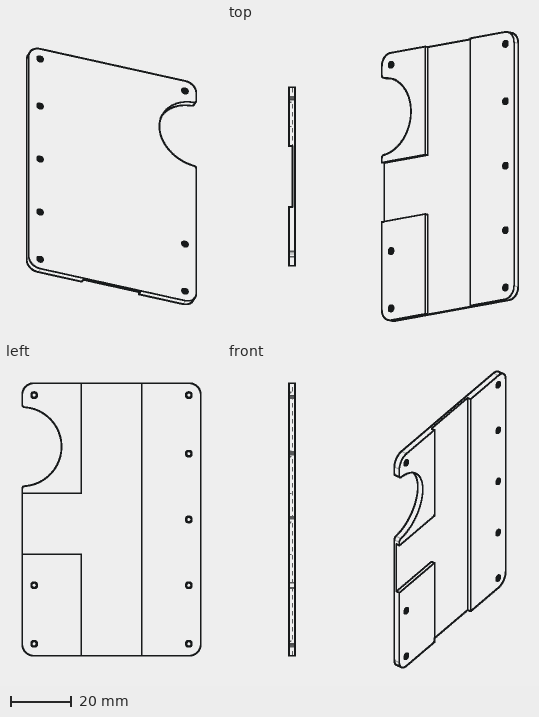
import cadquery as cq
import math

thickness = 2.1
width = 59.0
height = 90.0
corner_radius = 4.0

recess_depth = 1.2
channel_width = 20.0
branch_center_z = -1.4

notch_radius = 13.0
notch_center_z = 24.0
notch_lip_radius = 1.0

thread_minor_diameter = 1.62
thread_major_diameter = 2.07
thread_pitch = 0.4
thread_root_flat = thread_pitch / 4
thread_flank_angle = 30.0
thread_start_angle = 315.0
thread_overrun = thread_pitch
thread_overlap = 0.02
hole_y = width / 2 - corner_radius
end_hole_z = height / 2 - corner_radius
middle_hole_z = 21.7

face_x = -thickness / 2
hole_positions = [
    (-hole_y, end_hole_z),
    (-hole_y, middle_hole_z),
    (-hole_y, 0),
    (-hole_y, -middle_hole_z),
    (-hole_y, -end_hole_z),
    (hole_y, end_hole_z),
    (hole_y, -middle_hole_z),
    (hole_y, -end_hole_z),
]


def make_plate():
    """Rectangular plate with rounded corners."""
    return cq.Workplane("XY").box(thickness, width, height).edges("|X").fillet(corner_radius)


def cut_thumb_notch(plate):
    """Half-round notch centred on the +Y edge, with its two lips rounded."""
    edge_y = width / 2
    notch = (
        cq.Workplane("YZ", origin=(0, edge_y, notch_center_z))
        .circle(notch_radius)
        .extrude(thickness, both=True)
    )
    lip_edges = cq.selectors.BoxSelector(
        (-thickness, edge_y - notch_lip_radius, notch_center_z - notch_radius - notch_lip_radius),
        (thickness, edge_y + notch_lip_radius, notch_center_z + notch_radius + notch_lip_radius),
    )
    return plate.cut(notch).edges("|X").edges(lip_edges).fillet(notch_lip_radius)


def make_recess():
    """Full-height channel plus a side branch that opens on the +Y edge."""
    face = cq.Workplane("YZ", origin=(face_x, 0, 0))
    channel = face.rect(channel_width, height).extrude(recess_depth)
    branch = (
        face.center(width / 4, branch_center_z)
        .rect(width / 2, channel_width)
        .extrude(recess_depth)
    )
    return channel.union(branch)


def make_threaded_hole():
    """Tapped hole along +X from the origin: a plain bore plus a helical groove."""
    minor_radius = thread_minor_diameter / 2
    major_radius = thread_major_diameter / 2
    length = thickness + 2 * thread_overrun
    root_half = thread_root_flat / 2
    flank_slope = math.tan(math.radians(thread_flank_angle))
    inner_radius = minor_radius - thread_overlap
    inner_half = root_half + (major_radius - inner_radius) * flank_slope

    helix = cq.Wire.makeHelix(thread_pitch, length, minor_radius)
    groove = (
        cq.Workplane("XZ")
        .polyline(
            [
                (inner_radius, -inner_half),
                (major_radius, -root_half),
                (major_radius, root_half),
                (inner_radius, inner_half),
            ]
        )
        .close()
        .sweep(cq.Workplane(helix), isFrenet=True)
    )
    bore = cq.Workplane("XY").circle(minor_radius).extrude(length)
    hole = bore.union(groove)
    return (
        hole.rotate((0, 0, 0), (0, 0, 1), thread_start_angle)
        .rotate((0, 0, 0), (0, 1, 0), 90)
        .translate((-thread_overrun, 0, 0))
    )


def cut_threaded_holes(plate):
    """Cut the tapped through holes along both long edges."""
    hole = make_threaded_hole()
    for y, z in hole_positions:
        plate = plate.cut(hole.translate((face_x, y, z)))
    return plate


result = cut_threaded_holes(cut_thumb_notch(make_plate()).cut(make_recess()))